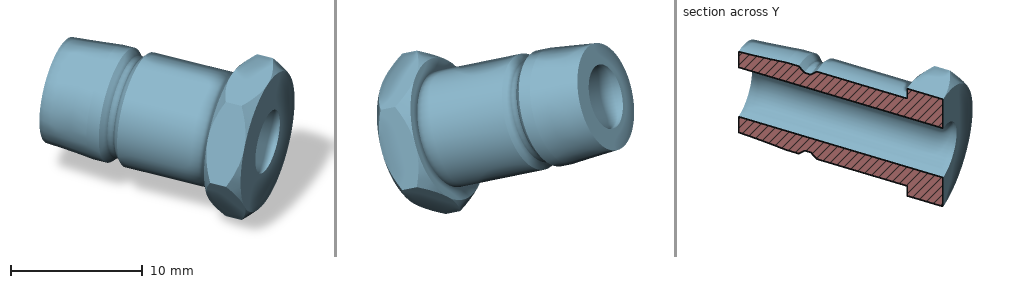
import cadquery as cq
import math

total_length = 17.0
head_length = 3.0
head_start = total_length - head_length

across_flats = 11.0
body_diameter = 9.0
groove_diameter = 8.0
nose_diameter = 8.3
bore_diameter = 5.0

nose_length = 4.0
groove_start = 5.0
groove_floor_length = 0.51

across_corners = across_flats / math.cos(math.radians(30))
body_radius = body_diameter / 2
groove_radius = groove_diameter / 2
groove_flank_length = body_radius - groove_radius


def make_shank():
    """Revolved shank with a tapered nose and a groove with 45 degree flanks."""
    floor_start = groove_start + groove_flank_length
    floor_end = floor_start + groove_floor_length
    profile = (
        cq.Workplane("XY")
        .moveTo(0, 0)
        .lineTo(0, nose_diameter / 2)
        .lineTo(nose_length, body_radius)
        .lineTo(groove_start, body_radius)
        .lineTo(floor_start, groove_radius)
        .lineTo(floor_end, groove_radius)
        .lineTo(floor_end + groove_flank_length, body_radius)
        .lineTo(head_start, body_radius)
        .lineTo(head_start, 0)
        .close()
    )
    return profile.revolve(360, (0, 0, 0), (1, 0, 0))


def make_head():
    """Hexagon with corners on Y, bevelled at 45 degrees on both faces."""
    hexagon = (
        cq.Workplane("YZ", origin=(head_start, 0, 0))
        .polygon(6, across_corners)
        .extrude(head_length)
    )
    corner_radius = across_corners / 2
    bevel = corner_radius - across_flats / 2
    bevelled_blank = (
        cq.Workplane("YZ", origin=(head_start, 0, 0))
        .circle(corner_radius)
        .extrude(head_length)
        .edges()
        .chamfer(bevel)
    )
    return hexagon.intersect(bevelled_blank)


def make_bore():
    """Round passage through the full length."""
    return cq.Workplane("YZ").circle(bore_diameter / 2).extrude(total_length)


result = make_shank().union(make_head()).cut(make_bore())